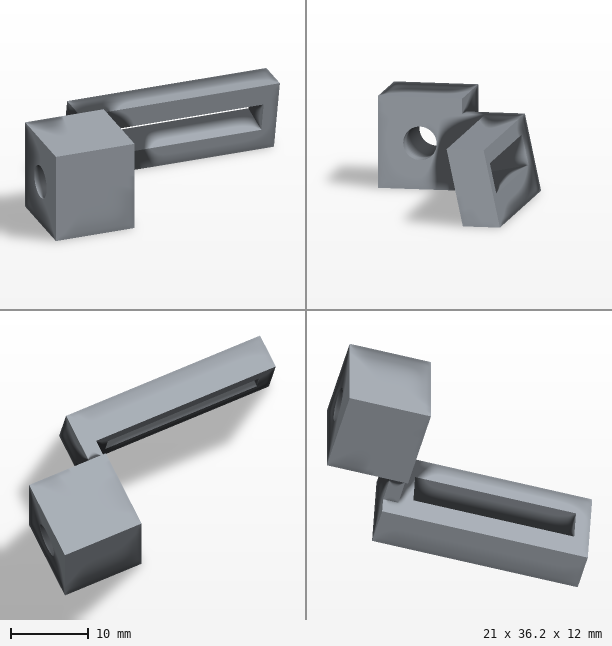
import cadquery as cq
import math

total_x = 21.0
total_y = 36.25

block_x = 11.02
block_y = 10.85
block_z = 12.0
bore_diameter = 4.4

arm_start_y = 8.8
arm_height = 10.0
arm_width = 4.85
lean_angle = 12.0
lean_slope = math.tan(math.radians(lean_angle))

web_bottom_z = 2.05

slot_bottom_z = 4.02
slot_top_z = 8.0
slot_near_margin = 4.0
slot_far_margin = 2.0

block_start_x = total_x - block_x


def face_x(z):
    """X position of the leaning outer face at height z."""
    return z * lean_slope


def make_block():
    block = cq.Workplane("XY").box(block_x, block_y, block_z, centered=False)
    bore = (
        cq.Workplane("XZ")
        .center(block_x / 2, block_z / 2)
        .circle(bore_diameter / 2)
        .extrude(-block_y)
    )
    return block.cut(bore).translate((block_start_x, 0, 0))


def make_arm():
    top_x = face_x(arm_height)
    section = [
        (0, 0),
        (arm_width, 0),
        (top_x + arm_width, arm_height),
        (top_x, arm_height),
    ]
    arm_length = total_y - arm_start_y
    arm = cq.Workplane("XZ").polyline(section).close().extrude(-arm_length)
    return arm.translate((0, arm_start_y, 0))


def make_web():
    start_x = face_x(arm_height)
    section = [
        (face_x(web_bottom_z), web_bottom_z),
        (block_start_x, web_bottom_z),
        (block_start_x, arm_height),
        (start_x, arm_height),
    ]
    web_length = block_y - arm_start_y
    web = cq.Workplane("XZ").polyline(section).close().extrude(-web_length)
    return web.translate((0, arm_start_y, 0))


def make_slot():
    drop = arm_width * lean_slope
    section = [
        (face_x(slot_bottom_z), slot_bottom_z),
        (face_x(slot_bottom_z) + arm_width, slot_bottom_z - drop),
        (face_x(slot_top_z) + arm_width, slot_top_z - drop),
        (face_x(slot_top_z), slot_top_z),
    ]
    start_y = arm_start_y + slot_near_margin
    slot_length = total_y - slot_far_margin - start_y
    slot = cq.Workplane("XZ").polyline(section).close().extrude(-slot_length)
    return slot.translate((0, start_y, 0))


result = make_arm().cut(make_slot()).union(make_web()).union(make_block())